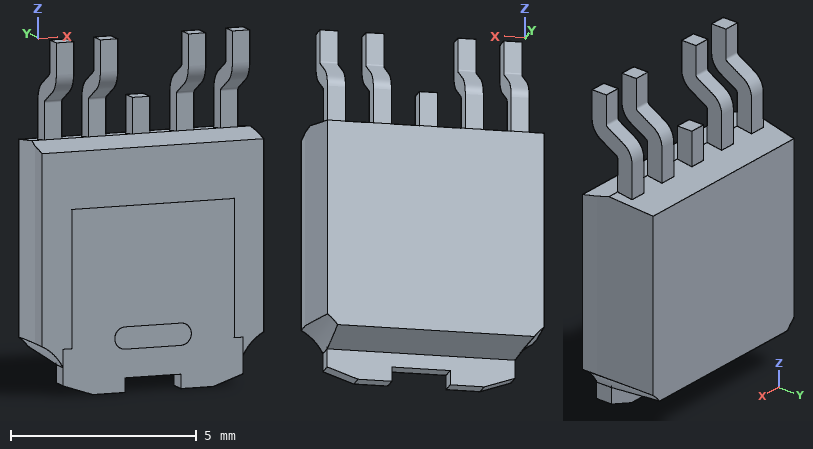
import cadquery as cq
import math


housing_width = 6.4
housing_depth = 2.3
straight_depth = 0.52
draft_angle = 6.5
housing_bottom = 0.8
ridge_height = 6.9
ridge_depth = 0.89
eave_height = 6.69

corner_side_height = 1.41
corner_bottom_x = 2.6
corner_sag = 0.05

tab_thickness = straight_depth
pad_width = 4.69
pad_top = 5.11
flange_width = 5.2
flange_top = 1.3
flange_chamfer_height = 0.29
flange_bottom_width = 3.49
notch_width = 1.61
notch_height = 0.4

slot_length = 2.21
slot_width = 0.61
slot_height = 1.49

lead_width = 0.5
lead_thickness = 0.5
lead_pitch = 1.27
lead_front = ridge_depth
lead_root = 5.82
lead_top = 9.7
stub_top = 7.9
bend_height = stub_top
bend_radius = 0.1
slope_angle = math.radians(30)


def mirrored(right_side):
    """Complete a half outline, listed from its centre-bottom end to the top, with its mirror image in X."""
    return right_side + [(-x, z) for x, z in reversed(right_side)]


def housing_slab(depth, taper):
    """Plain slab grown backward from the housing front, tall enough to be trimmed to the roof."""
    slab_top = ridge_height + housing_depth
    slab_height = slab_top - housing_bottom
    return (
        cq.Workplane("XZ")
        .center(0, housing_bottom + slab_height / 2)
        .rect(housing_width, slab_height)
        .extrude(-depth, taper=taper)
    )


def make_corner_cutter(side):
    """Cutter for one hollow lower corner; side is -1 or 1."""
    side_x = housing_width / 2
    arc_x = (side_x + corner_bottom_x) / 2 - corner_sag
    arc_z = (corner_side_height + housing_bottom) / 2 + corner_sag
    return (
        cq.Workplane("XZ")
        .moveTo(side * side_x, corner_side_height)
        .threePointArc((side * arc_x, arc_z), (side * corner_bottom_x, housing_bottom))
        .lineTo(side * side_x, housing_bottom)
        .close()
        .extrude(-housing_depth)
    )


def make_housing_block():
    """Straight front band and drafted back, trimmed to the roof-shaped top and hollow corners."""
    front = housing_slab(straight_depth, 0)
    back = housing_slab(housing_depth - straight_depth, draft_angle).translate((0, straight_depth, 0))
    roof = (
        cq.Workplane("YZ")
        .polyline([
            (0, 0),
            (housing_depth, 0),
            (housing_depth, eave_height),
            (ridge_depth, ridge_height),
            (0, eave_height),
        ])
        .close()
        .extrude(housing_width / 2, both=True)
    )
    block = front.union(back).intersect(roof)
    for side in (-1, 1):
        block = block.cut(make_corner_cutter(side))
    return block


def make_tab():
    """Metal tab with a notched lower edge and a slot through it."""
    outline = mirrored([
        (notch_width / 2, notch_height),
        (notch_width / 2, 0),
        (flange_bottom_width / 2, 0),
        (flange_width / 2, flange_chamfer_height),
        (flange_width / 2, flange_top),
        (pad_width / 2, flange_top),
        (pad_width / 2, pad_top),
    ])
    plate = cq.Workplane("XZ").polyline(outline).close().extrude(-tab_thickness)
    slot = (
        cq.Workplane("XZ")
        .center(0, slot_height)
        .slot2D(slot_length, slot_width)
        .extrude(-tab_thickness)
    )
    return plate.cut(slot)


def make_stub():
    """Short straight centre lead."""
    return cq.Workplane("XY").box(
        lead_width, lead_thickness, stub_top - lead_root, centered=(True, False, False)
    ).translate((0, lead_front, lead_root))


def make_lead(x):
    """Lead that steps forward to the plane of the tab face in two opposite bends."""
    outer_radius = bend_radius + lead_thickness
    lower_y = lead_front - bend_radius
    upper_y = lead_thickness + bend_radius
    radii = bend_radius + outer_radius
    run = (lower_y - upper_y + radii * math.sin(slope_angle)) / math.cos(slope_angle)
    upper_z = bend_height + run * math.sin(slope_angle) + radii * math.cos(slope_angle)

    def lower(radius, angle):
        return (lower_y + radius * math.cos(angle), bend_height + radius * math.sin(angle))

    def upper(radius, angle):
        return (upper_y - radius * math.cos(angle), upper_z - radius * math.sin(angle))

    bend = math.pi / 2 - slope_angle
    profile = (
        cq.Workplane("YZ")
        .moveTo(lead_front, lead_root)
        .lineTo(*lower(bend_radius, 0))
        .threePointArc(lower(bend_radius, bend / 2), lower(bend_radius, bend))
        .lineTo(*upper(outer_radius, bend))
        .threePointArc(upper(outer_radius, bend / 2), upper(outer_radius, 0))
        .lineTo(0, lead_top)
        .lineTo(lead_thickness, lead_top)
        .lineTo(*upper(bend_radius, 0))
        .threePointArc(upper(bend_radius, bend / 2), upper(bend_radius, bend))
        .lineTo(*lower(outer_radius, bend))
        .threePointArc(lower(outer_radius, bend / 2), lower(outer_radius, 0))
        .lineTo(lead_front + lead_thickness, lead_root)
        .close()
    )
    return profile.extrude(lead_width / 2, both=True).translate((x, 0, 0))


tab = make_tab()

housing = make_housing_block().cut(tab).union(make_stub())
for position in (-2, -1, 1, 2):
    housing = housing.union(make_lead(position * lead_pitch))

result = cq.Compound.makeCompound([housing.val(), tab.val()])